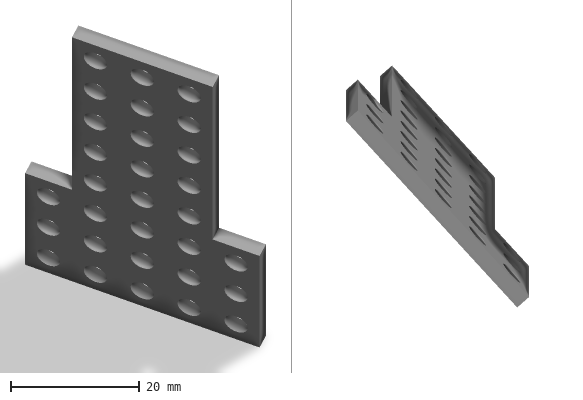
import cadquery as cq

pitch = 8.0
thickness = 2.5
hole_diameter = 4.0

base_columns = 5
base_rows = 3
stem_columns = 3
stem_rows = 5


def perforated_block(columns, rows, bottom):
    """Plate centred on X, rising from `bottom`, with one through hole per grid cell."""
    width = columns * pitch
    height = rows * pitch
    plate = cq.Workplane("XY").box(width, thickness, height)
    holes = (
        cq.Workplane("XZ")
        .rarray(pitch, pitch, columns, rows)
        .circle(hole_diameter / 2)
        .extrude(thickness, both=True)
    )
    return plate.cut(holes).translate((0, 0, bottom + height / 2))


base = perforated_block(base_columns, base_rows, 0)
stem = perforated_block(stem_columns, stem_rows, base_rows * pitch)

result = base.union(stem).clean()